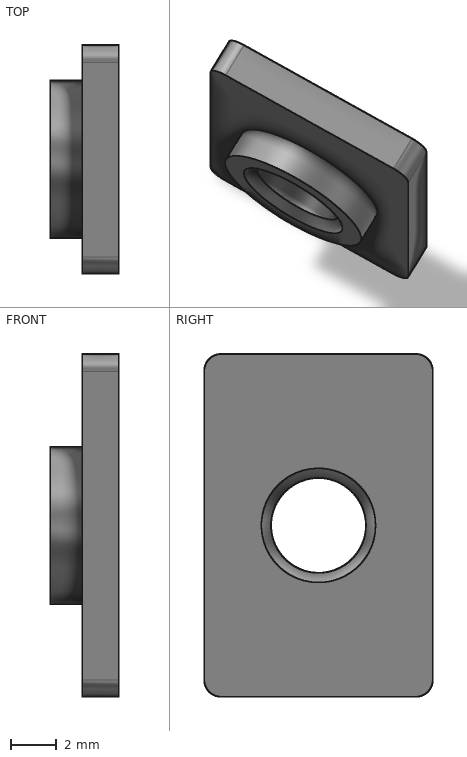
import cadquery as cq

total_depth = 3.0
plate_thickness = 1.6
plate_width = 10.0
plate_height = 15.0
corner_radius = 0.75

boss_diameter = 6.9
boss_height = total_depth - plate_thickness
bore_diameter = 4.14
bore_mouth_diameter = 5.0
bore_chamfer = (bore_mouth_diameter - bore_diameter) / 2

plate = (
    cq.Workplane("YZ")
    .rect(plate_width, plate_height)
    .extrude(plate_thickness)
    .edges("|X")
    .fillet(corner_radius)
)

boss = cq.Workplane("YZ").circle(boss_diameter / 2).extrude(-boss_height)

bore = (
    cq.Workplane("YZ", origin=(-boss_height, 0, 0))
    .circle(bore_diameter / 2)
    .extrude(total_depth)
)


def bore_mouth(x, depth):
    """45 degree countersink starting at x, narrowing to the bore over a signed depth."""
    return (
        cq.Workplane("YZ", origin=(x, 0, 0))
        .circle(bore_mouth_diameter / 2)
        .workplane(offset=depth)
        .circle(bore_diameter / 2)
        .loft(ruled=True)
    )


front_mouth = bore_mouth(-boss_height, bore_chamfer)
back_mouth = bore_mouth(plate_thickness, -bore_chamfer)

result = plate.union(boss).cut(bore).cut(front_mouth).cut(back_mouth)